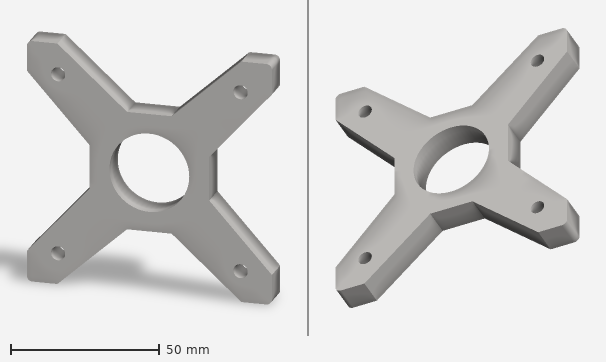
import cadquery as cq

plate_size = 86.0
plate_thickness = 10.0
hub_size = 42.0
hub_flat = 15.65
arm_end_flat = 10.74
corner_radius = 2.0
bore_diameter = 28.0
mount_hole_spacing = 64.0
mount_hole_diameter = 5.0
arm_count = 4

outer = plate_size / 2
arm_shoulder = outer - arm_end_flat
hub_side = hub_size / 2
flat_end = hub_flat / 2
front_face = -plate_thickness / 2

front_plane = cq.Workplane("XZ", origin=(0, front_face, 0))


def is_arm_corner(edge):
    """True for the edges at the outermost corner of an arm."""
    center = edge.Center()
    return min(abs(center.x), abs(center.z)) > arm_shoulder + corner_radius


def cross_plate():
    """Four-armed plate centred on its thickness, with rounded arm corners."""
    arm_points = [
        (flat_end, hub_side),
        (arm_shoulder, outer),
        (outer, outer),
        (outer, arm_shoulder),
        (hub_side, flat_end),
    ]
    outline = []
    for _ in range(arm_count):
        outline += arm_points
        arm_points = [(z, -x) for x, z in arm_points]
    plate = front_plane.polyline(outline).close().extrude(-plate_thickness)
    return plate.edges("|Y").filter(is_arm_corner).fillet(corner_radius)


def center_bore():
    """Cutter for the round opening through the hub."""
    return front_plane.circle(bore_diameter / 2).extrude(-plate_thickness)


def mount_holes():
    """Cutters for the through hole near the end of each arm."""
    centers = front_plane.rect(mount_hole_spacing, mount_hole_spacing, forConstruction=True).vertices()
    return centers.circle(mount_hole_diameter / 2).extrude(-plate_thickness)


result = cross_plate().cut(center_bore()).cut(mount_holes())